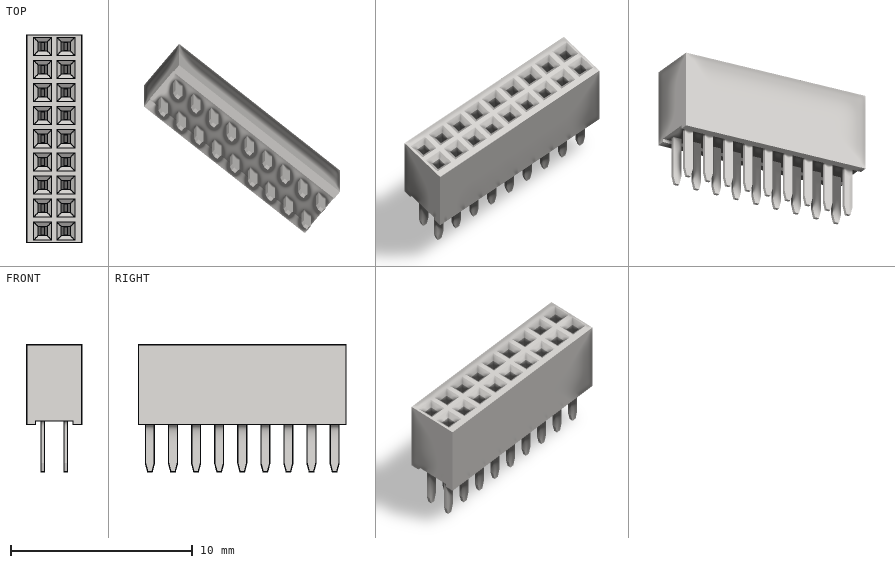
import cadquery as cq

LENGTH = 11.43
WIDTH = 3.05
HEIGHT = 7.0

ROWS = 9
COLUMNS = 2
PITCH = LENGTH / ROWS

HOUSING_HEIGHT = 4.4
RAIL_WIDTH = 0.5
RAIL_HEIGHT = 0.2

MOUTH_SIZE = 1.0
WELL_SIZE = 0.5
FUNNEL_DEPTH = 0.25
WELL_DEPTH = 2.06

PIN_THICKNESS = 0.21
PIN_WIDTH = 0.5
TIP_WIDTH = PIN_WIDTH / 2
TIP_LENGTH = 0.48

BLADE_WIDTH = 0.42
BLADE_HEIGHT = 0.69

top_z = HEIGHT
rail_z = top_z - HOUSING_HEIGHT
well_floor_z = top_z - WELL_DEPTH


def contact_axes():
    """Points where the contact axes cross the XY plane."""
    return cq.Workplane("XY").rarray(PITCH, PITCH, COLUMNS, ROWS)


def make_housing():
    block = cq.Workplane("XY", origin=(0, 0, rail_z)).box(
        WIDTH, LENGTH, HOUSING_HEIGHT, centered=(True, True, False)
    )
    channel = cq.Workplane("XY", origin=(0, 0, rail_z)).box(
        WIDTH - 2 * RAIL_WIDTH, LENGTH, RAIL_HEIGHT, centered=(True, True, False)
    )
    return block.cut(channel)


def make_socket():
    """Cavity of one socket, centred on the Z axis."""
    funnel = (
        cq.Workplane("XY", origin=(0, 0, top_z - FUNNEL_DEPTH))
        .rect(WELL_SIZE, WELL_SIZE)
        .workplane(offset=FUNNEL_DEPTH)
        .rect(MOUTH_SIZE, MOUTH_SIZE)
        .loft(ruled=True)
    )
    well = cq.Workplane("XY", origin=(0, 0, well_floor_z)).box(
        WELL_SIZE, WELL_SIZE, WELL_DEPTH - FUNNEL_DEPTH, centered=(True, True, False)
    )
    return funnel.union(well)


def make_pin():
    """One pin on the Z axis, from its tip to the top of its blade."""
    right_side = [
        (TIP_WIDTH / 2, 0),
        (PIN_WIDTH / 2, TIP_LENGTH),
        (PIN_WIDTH / 2, well_floor_z),
        (BLADE_WIDTH / 2, well_floor_z),
        (BLADE_WIDTH / 2, well_floor_z + BLADE_HEIGHT),
    ]
    left_side = [(-y, z) for y, z in reversed(right_side)]
    return (
        cq.Workplane("YZ")
        .polyline(right_side + left_side)
        .close()
        .extrude(PIN_THICKNESS / 2, both=True)
    )


def repeat(shape):
    """Copies of a shape, one on every contact axis."""
    solid = shape.val()
    return contact_axes().eachpoint(lambda place: solid.moved(place), combine=False)


result = make_housing().cut(repeat(make_socket())).union(repeat(make_pin()))